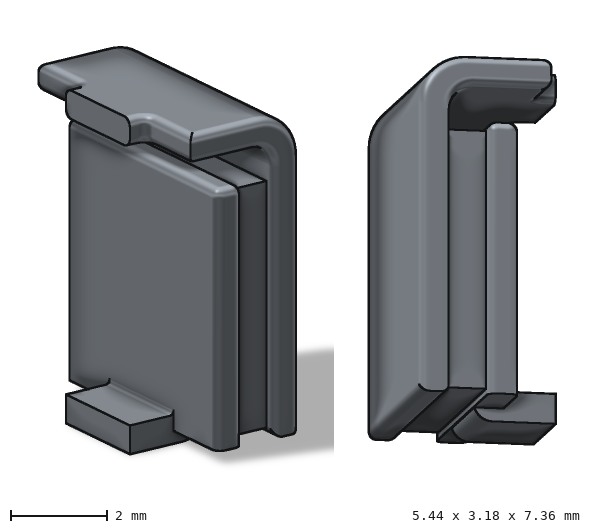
import cadquery as cq

width = 5.44
depth = 3.18
height = 7.36

sheet = 0.63
edge_radius = 0.2
lead_width = 2.3
plate_bottom = 0.28

rear_bend_outer = 1.0
rear_bend_inner = 0.5
upper_lead_length = 0.42
lead_root_radius = 0.2

plate_gap = 0.81
front_plate_top = 6.005
lower_bend_outer = 0.4
lower_bend_inner = 0.1

core_inset = 0.3
core_bottom = 0.43
core_top = 5.845

rear_inner_y = depth - sheet
front_plate_back = rear_inner_y - plate_gap
front_plate_face = front_plate_back - sheet


def box(x_size, y_range, z_range):
    """Block centred on X that spans the given Y and Z ranges."""
    return (
        cq.Workplane("XY")
        .box(x_size, y_range[1] - y_range[0], z_range[1] - z_range[0], centered=(True, False, False))
        .translate((0, y_range[0], z_range[0]))
    )


def extrude_across(profile, x_size):
    """Extrude a closed YZ profile symmetrically about X = 0."""
    return profile.close().extrude(x_size / 2, both=True)


def make_rear_plate():
    flange_underside = height - sheet
    profile = (
        cq.Workplane("YZ")
        .moveTo(0, flange_underside)
        .lineTo(rear_inner_y - rear_bend_inner, flange_underside)
        .radiusArc((rear_inner_y, flange_underside - rear_bend_inner), rear_bend_inner)
        .lineTo(rear_inner_y, plate_bottom)
        .lineTo(depth, plate_bottom)
        .lineTo(depth, height - rear_bend_outer)
        .radiusArc((depth - rear_bend_outer, height), -rear_bend_outer)
        .lineTo(0, height)
    )
    plate = extrude_across(profile, width)

    notch_width = (width - lead_width) / 2
    for side in (-1, 1):
        notch = box(notch_width, (0, upper_lead_length), (flange_underside, height))
        plate = plate.cut(notch.translate((side * (lead_width + notch_width) / 2, 0, 0)))
    lead_roots = cq.selectors.BoxSelector(
        (-lead_width, upper_lead_length / 2, flange_underside),
        (lead_width, upper_lead_length * 2, height),
    )
    plate = plate.edges("|Z").edges(lead_roots).fillet(lead_root_radius)

    return plate.edges("%CIRCLE or (<Z and |X)").fillet(edge_radius)


def make_front_plate():
    """Flat plate rounded on its sides and top, square along the bottom."""
    plate = box(width, (front_plate_face, front_plate_back), (plate_bottom, front_plate_top))
    return plate.edges("|Z or >Z").fillet(edge_radius)


def make_lower_lead():
    """Lead running from inside the front plate, around its bend, forward to Y = 0."""
    bend_top = sheet + lower_bend_inner
    profile = (
        cq.Workplane("YZ")
        .moveTo(0, 0)
        .lineTo(front_plate_back - lower_bend_outer, 0)
        .radiusArc((front_plate_back, lower_bend_outer), -lower_bend_outer)
        .lineTo(front_plate_back, bend_top)
        .lineTo(front_plate_face, bend_top)
        .radiusArc((front_plate_face - lower_bend_inner, sheet), lower_bend_inner)
        .lineTo(0, sheet)
    )
    return extrude_across(profile, lead_width)


def make_core():
    """Block that joins the two plates, reaching into the middle of each sheet."""
    core_front = front_plate_back - sheet / 2
    core_back = rear_inner_y + sheet / 2
    return box(width - 2 * core_inset, (core_front, core_back), (core_bottom, core_top))


result = make_rear_plate().union(make_front_plate()).union(make_lower_lead()).union(make_core())